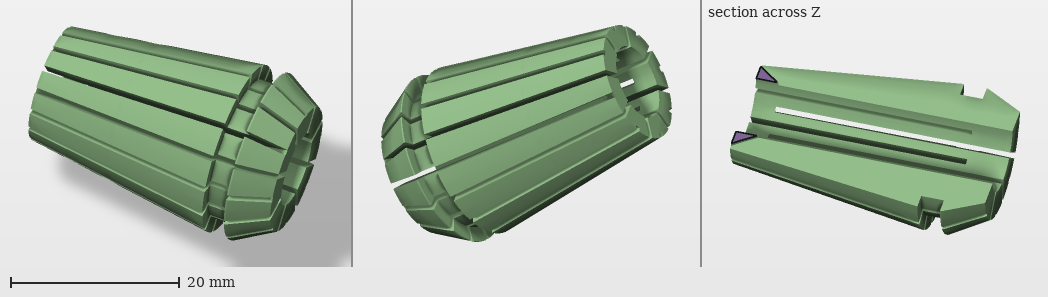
import cadquery as cq
import math

length = 31.5
max_radius = 10.5
bore_radius = 4.5

taper_angle = 8.0
nose_angle = 30.0
taper_length = 23.9
groove_width = 2.77
groove_radius = 8.7
rim_width = 0.2

slots_per_set = 8
slot_pitch = 360.0 / slots_per_set
slot_width = 0.7
tail_bridge_length = 2.77
nose_bridge_length = 4.9
tail_bridge_radius = 6.65
nose_bridge_radius = 7.65
saw_radius = 50.4

bore_edge_radius = math.sqrt(bore_radius**2 - (slot_width / 2) ** 2)

cutter_radius = max_radius + 0.3


def make_body():
    """Revolve the collet wall around the X axis."""
    groove_end = taper_length + groove_width
    nose_start = groove_end + rim_width
    tail_radius = max_radius - taper_length * math.tan(math.radians(taper_angle))
    nose_radius = max_radius - (length - nose_start) * math.tan(math.radians(nose_angle))
    wall = [
        (0, bore_radius),
        (0, tail_radius),
        (taper_length, max_radius),
        (taper_length, groove_radius),
        (groove_end, groove_radius),
        (groove_end, max_radius),
        (nose_start, max_radius),
        (length, nose_radius),
        (length, bore_radius),
    ]
    return cq.Workplane("XY").polyline(wall).close().revolve(360, (0, 0, 0), (1, 0, 0))


def extrude_slot(profile):
    """Turn a closed (x, radius) profile into a radial cutter of slot width towards +Y."""
    return profile.close().extrude(slot_width / 2, both=True)


def through_cutter(x_start, x_end):
    """Part of a slot that opens into the bore."""
    inner_radius = bore_radius / 2
    profile = (
        cq.Workplane("XY")
        .moveTo(x_start, inner_radius)
        .lineTo(x_end, inner_radius)
        .lineTo(x_end, cutter_radius)
        .lineTo(x_start, cutter_radius)
    )
    return extrude_slot(profile)


def ramp_cutter(start, end):
    """Blind end of a slot whose floor is a saw arc between two (x, radius) points, sagging to the axis."""
    run = end[0] - start[0]
    rise = end[1] - start[1]
    chord = math.hypot(run, rise)
    sag = saw_radius - math.sqrt(saw_radius**2 - (chord / 2) ** 2)
    floor_middle = (
        (start[0] + end[0]) / 2 + sag * rise / chord,
        (start[1] + end[1]) / 2 - sag * run / chord,
    )
    profile = (
        cq.Workplane("XY")
        .moveTo(*start)
        .threePointArc(floor_middle, end)
        .lineTo(end[0], cutter_radius)
        .lineTo(start[0], cutter_radius)
    )
    return extrude_slot(profile)


def cut_slots(body, slot, first_angle):
    """Cut one evenly spaced set of slots around the X axis."""
    for index in range(slots_per_set):
        angle = first_angle + index * slot_pitch
        body = body.cut(slot.rotate((0, 0, 0), (1, 0, 0), angle))
    return body


nose_ramp_start = length - nose_bridge_length
tail_ramp = ramp_cutter((0, tail_bridge_radius), (tail_bridge_length, bore_edge_radius))
nose_ramp = ramp_cutter((nose_ramp_start, bore_edge_radius), (length, nose_bridge_radius))
slot_from_nose = through_cutter(tail_bridge_length, length).union(tail_ramp)
slot_from_tail = through_cutter(0, nose_ramp_start).union(nose_ramp)

result = make_body()
result = cut_slots(result, slot_from_nose, 0)
result = cut_slots(result, slot_from_tail, slot_pitch / 2)